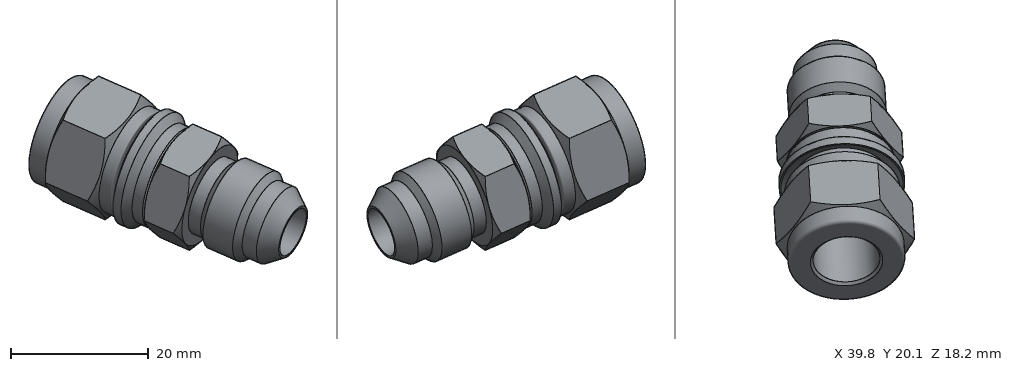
import cadquery as cq
import math

length = 39.8
corner_slope = math.tan(math.radians(30))

nut_collar_diameter = 17.0
nut_collar_rounding = 0.5
nut_corner_diameter = 20.15
nut_hex_start = 3.03
nut_hex_end = 12.02
nut_skirt_diameter = 16.8
nut_skirt_rounding = 0.25
nut_end = 14.0

groove_diameter = 14.2
flange_diameter = 18.25
flange_start = 14.8
flange_taper_start = 16.15
flange_recess_diameter = 17.75
flange_recess_depth = 1.0
shoulder_start = 17.3
shoulder_diameter = 15.8
shoulder_chamfer = 0.3

body_hex_start = 19.4
body_hex_end = 25.7
body_hex_across_flats = 15.85
body_hex_corner_diameter = body_hex_across_flats / math.cos(math.radians(30))

neck_diameter = 12.2
thread_diameter = 14.2
thread_chamfer = (thread_diameter - neck_diameter) / 2
thread_start = 27.8
thread_end = 34.85
nose_start = 37.22
nose_tip_diameter = 8.2

bore_diameter = 7.5
socket_diameter = 9.7
socket_depth = flange_taper_start
socket_chamfer = 0.4


def revolve_profile(points):
    """Solid of revolution about X from (x, diameter) points, closed along the axis."""
    outline = [(x, diameter / 2) for x, diameter in points]
    outline = [(points[0][0], 0)] + outline + [(points[-1][0], 0)]
    return cq.Workplane("XY").polyline(outline).close().revolve(360, (0, 0, 0), (1, 0, 0))


def chamfered_hex(start, end, corner_diameter, start_face_diameter, end_face_diameter):
    """Hexagonal prism along X, corners on Y, with conically trimmed ends."""
    prism = (
        cq.Workplane("YZ")
        .workplane(offset=start)
        .polygon(6, corner_diameter)
        .extrude(end - start)
    )
    start_run = (corner_diameter - start_face_diameter) / 2 * corner_slope
    end_run = (corner_diameter - end_face_diameter) / 2 * corner_slope
    envelope = revolve_profile([
        (start, start_face_diameter),
        (start + start_run, corner_diameter),
        (end - end_run, corner_diameter),
        (end, end_face_diameter),
    ])
    return prism.intersect(envelope)


nut_collar = revolve_profile([(0, nut_collar_diameter), (nut_hex_start, nut_collar_diameter)])
nut_collar = nut_collar.faces("<X").edges().fillet(nut_collar_rounding)
nut_hex = chamfered_hex(
    nut_hex_start, nut_hex_end, nut_corner_diameter, nut_collar_diameter, nut_skirt_diameter
)
nut_skirt = revolve_profile([(nut_hex_end, nut_skirt_diameter), (nut_end, nut_skirt_diameter)])
nut_skirt = nut_skirt.faces(">X").edges().fillet(nut_skirt_rounding)

body_collar = revolve_profile([
    (nut_end, groove_diameter),
    (flange_start + flange_recess_depth, groove_diameter),
    (flange_start, flange_recess_diameter),
    (flange_start, flange_diameter),
    (flange_taper_start, flange_diameter),
    (shoulder_start, shoulder_diameter),
    (body_hex_start - shoulder_chamfer, shoulder_diameter),
    (body_hex_start, shoulder_diameter - 2 * shoulder_chamfer),
])

body_hex = chamfered_hex(
    body_hex_start, body_hex_end, body_hex_corner_diameter, shoulder_diameter, shoulder_diameter
)

threaded_end = revolve_profile([
    (body_hex_end, neck_diameter),
    (thread_start, neck_diameter),
    (thread_start + thread_chamfer, thread_diameter),
    (thread_end - thread_chamfer, thread_diameter),
    (thread_end, neck_diameter),
    (nose_start, neck_diameter),
    (length, nose_tip_diameter),
])

bores = revolve_profile([
    (0, socket_diameter + 2 * socket_chamfer),
    (socket_chamfer, socket_diameter),
    (socket_depth, socket_diameter),
    (socket_depth, bore_diameter),
    (length, bore_diameter),
])

result = nut_collar
for section in (nut_hex, nut_skirt, body_collar, body_hex, threaded_end):
    result = result.union(section)
result = result.cut(bores)